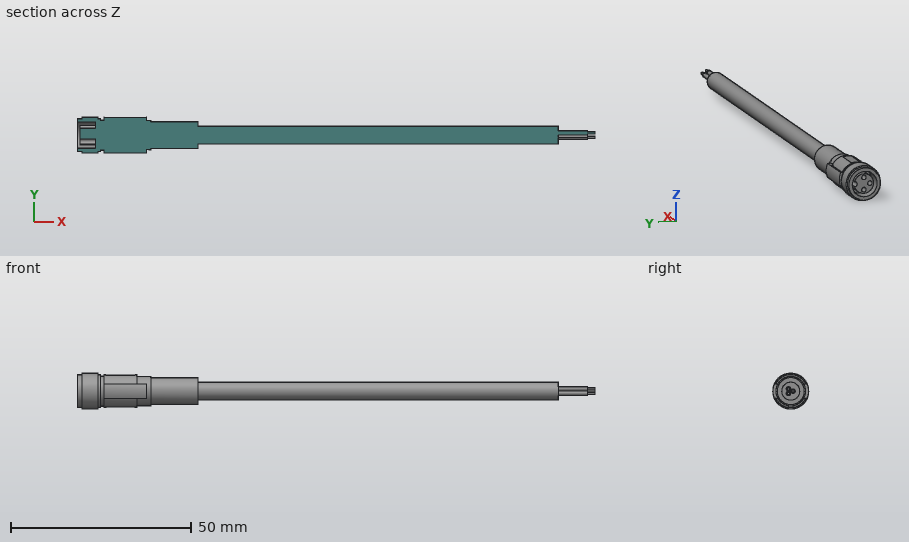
import cadquery as cq
import math

TOTAL_LENGTH = 143.7
RING_START = 1.3
RING_END = 5.75
FLANGE_END = 6.5
BODY_START = 7.4
BODY_END = 16.5
RIB_END = 19.2
COLLAR_END = 20.4
SLEEVE_END = 33.5
CABLE_END = 133.5
INSULATION_END = 141.6

NOSE_RADIUS = 4.6
RING_RADIUS = 5.0
FLANGE_RADIUS = 4.6
NECK_RADIUS = 4.2
BODY_RADIUS = 4.6
COLLAR_RADIUS = 4.1
SLEEVE_RADIUS = 3.75
CABLE_RADIUS = 2.5

INSERT_RADIUS = 2.8
INSERT_RECESS = 0.7
SOCKET_RADIUS = 3.6
SOCKET_DEPTH = 5.0
PIN_HOLE_RADIUS = 0.65
PIN_CIRCLE_RADIUS = 1.75
PIN_HOLE_ANGLES = (-90, 180, 90)
KEYWAY_RADIUS = 0.7
KEYWAY_OFFSET = 2.65

RIB_WIDTH = 4.0
RIB_RADIUS = RING_RADIUS
FLAT_WIDTH = 2.6
FLAT_END_GAP = 0.4
FLAT_CORNER = 0.4

WIRE_RADIUS = 0.63
CONDUCTOR_RADIUS = 0.35
WIRE_EMBED = 1.0


def cylinder(start, end, radius, y=0.0, z=0.0):
    """Cylinder along X between two stations."""
    axis = cq.Vector(1, 0, 0)
    return cq.Workplane(cq.Solid.makeCylinder(radius, end - start, cq.Vector(start, y, z), axis))


def make_turned_sections():
    sections = [
        (RING_START, NOSE_RADIUS),
        (RING_END, RING_RADIUS),
        (FLANGE_END, FLANGE_RADIUS),
        (BODY_START, NECK_RADIUS),
        (BODY_END, BODY_RADIUS),
        (COLLAR_END, COLLAR_RADIUS),
        (SLEEVE_END, SLEEVE_RADIUS),
        (CABLE_END, CABLE_RADIUS),
    ]
    outline = cq.Workplane("XZ")
    start = 0.0
    for end, radius in sections:
        outline = outline.lineTo(start, radius).lineTo(end, radius)
        start = end
    outline = outline.lineTo(CABLE_END, 0).close()
    return outline.revolve(360, (0, 0, 0), (1, 0, 0))


def make_ribs():
    """Two ribs on the +Y and -Y sides, rounded to the radius of the ring."""
    length = RIB_END - BODY_START
    band = cq.Workplane("XY").box(length, 2 * RIB_RADIUS, RIB_WIDTH, centered=(False, True, True))
    band = band.translate((BODY_START, 0, 0))
    return band.intersect(cylinder(BODY_START, RIB_END, RIB_RADIUS))


def cut_flats(body):
    """Shallow flats on the top and bottom, with chamfered corners."""
    length = BODY_END - BODY_START - 2 * FLAT_END_GAP
    middle = (BODY_START + BODY_END) / 2
    level = math.sqrt(BODY_RADIUS**2 - (FLAT_WIDTH / 2) ** 2)
    cutter = (
        cq.Workplane("XY", origin=(middle, 0, level))
        .rect(length, FLAT_WIDTH)
        .extrude(BODY_RADIUS - level)
        .edges("|Z")
        .chamfer(FLAT_CORNER)
    )
    return body.cut(cutter).cut(cutter.mirror("XY"))


def cut_socket(body):
    """Socket around a set-back insert with three pin holes and a keyway."""
    insert = cylinder(INSERT_RECESS, SOCKET_DEPTH, INSERT_RADIUS)
    insert = insert.cut(cylinder(0, SOCKET_DEPTH, KEYWAY_RADIUS, y=KEYWAY_OFFSET))
    body = body.cut(cylinder(0, SOCKET_DEPTH, SOCKET_RADIUS).cut(insert))
    for angle in PIN_HOLE_ANGLES:
        turn = math.radians(angle)
        y = PIN_CIRCLE_RADIUS * math.cos(turn)
        z = PIN_CIRCLE_RADIUS * math.sin(turn)
        body = body.cut(cylinder(0, SOCKET_DEPTH, PIN_HOLE_RADIUS, y, z))
    return body


def add_wires(body):
    positions = [(-WIRE_RADIUS, WIRE_RADIUS), (-WIRE_RADIUS, -WIRE_RADIUS), (WIRE_RADIUS, 0)]
    for y, z in positions:
        body = body.union(cylinder(CABLE_END - WIRE_EMBED, INSULATION_END, WIRE_RADIUS, y, z))
        body = body.union(cylinder(INSULATION_END - WIRE_EMBED, TOTAL_LENGTH, CONDUCTOR_RADIUS, y, z))
    return body


part = make_turned_sections().union(make_ribs())
part = cut_flats(part)
part = cut_socket(part)
result = add_wires(part)